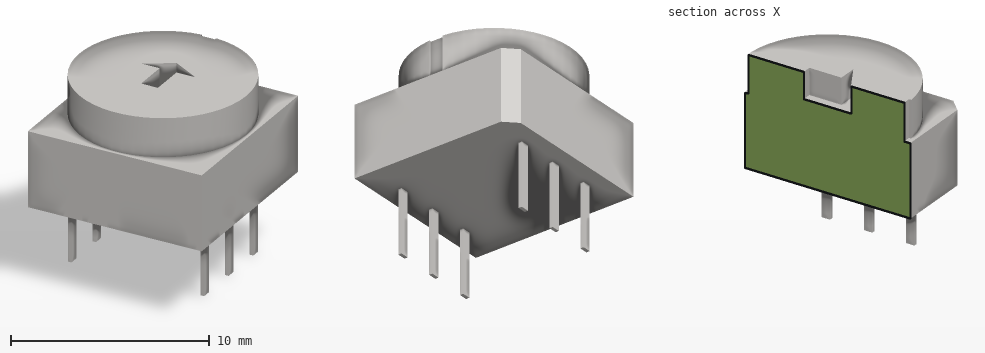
import cadquery as cq

body_width = 10.0
base_height = 1.25
block_height = 3.05
body_height = base_height + block_height
corner_cut = 0.71

pin_length = 3.8
pin_thickness = 0.21
pin_width = 0.5
pin_pitch = 2.54
pins_per_row = 3
row_spacing = 3 * pin_pitch

total_height = 10.3
dial_diameter = 9.6
body_top = pin_length + body_height
dial_height = total_height - body_top

notch_width = 0.82
notch_floor_y = 4.65

arrow_tip_y = 1.42
arrow_shoulder_y = 0.53
arrow_tail_y = -1.4
arrow_head_width = 3.15
arrow_stem_width = 0.97
arrow_depth = 1.55


def make_housing():
    return (
        cq.Workplane("XY", origin=(0, 0, pin_length))
        .rect(body_width, body_width)
        .extrude(body_height)
        .edges("|Z and <X and >Y")
        .chamfer(corner_cut)
    )


def make_dial():
    dial = cq.Workplane("XY", origin=(0, 0, body_top)).circle(dial_diameter / 2).extrude(dial_height)
    notch = cq.Workplane("XY", origin=(0, notch_floor_y, body_top)).box(
        notch_width, dial_diameter / 2, dial_height, centered=(True, False, False)
    )
    return dial.cut(notch)


def make_pins():
    return (
        cq.Workplane("XY")
        .rarray(row_spacing, pin_pitch, 2, pins_per_row)
        .rect(pin_thickness, pin_width)
        .extrude(pin_length)
    )


def make_arrow_recess():
    half_head = arrow_head_width / 2
    half_stem = arrow_stem_width / 2
    outline = [
        (0, arrow_tip_y),
        (half_head, arrow_shoulder_y),
        (half_stem, arrow_shoulder_y),
        (half_stem, arrow_tail_y),
        (-half_stem, arrow_tail_y),
        (-half_stem, arrow_shoulder_y),
        (-half_head, arrow_shoulder_y),
    ]
    return cq.Workplane("XY", origin=(0, 0, total_height)).polyline(outline).close().extrude(-arrow_depth)


result = make_housing().union(make_dial()).union(make_pins()).cut(make_arrow_recess())